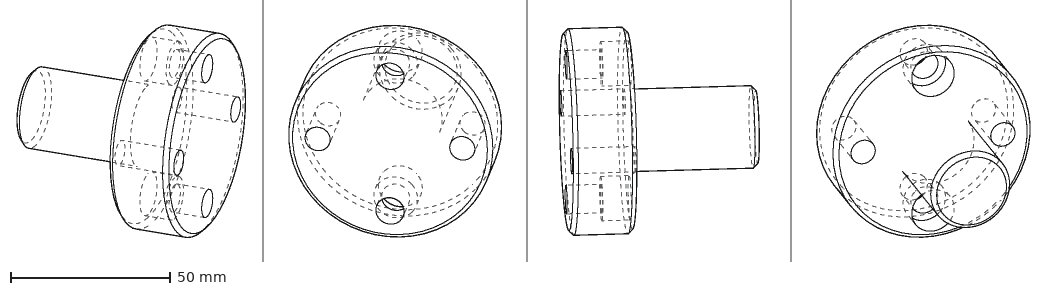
import cadquery as cq

flange_diameter = 65.0
flange_thickness = 20.0
shaft_diameter = 26.0
total_length = 60.0
edge_chamfer = 1.5
root_fillet = 2.0

pitch_radius = 23.0
plain_hole_diameter = 8.0
bolt_hole_diameter = 9.0
counterbore_diameter = 14.0
counterbore_depth = 9.0

shaft_length = total_length - flange_thickness


def cylinder_along_x(diameter, start, length, y=0, z=0):
    """Solid cylinder running in +X from the given start."""
    base = cq.Workplane("YZ", origin=(start, y, z))
    return base.circle(diameter / 2).extrude(length)


flange = cylinder_along_x(flange_diameter, 0, flange_thickness).edges().chamfer(edge_chamfer)

shaft = cylinder_along_x(shaft_diameter, -shaft_length, shaft_length)
shaft = shaft.faces("<X").edges().chamfer(edge_chamfer)

root_edge = cq.selectors.RadiusNthSelector(0)
body = flange.union(shaft)
body = body.faces(cq.selectors.NearestToPointSelector((0, pitch_radius, 0))).edges(root_edge)
body = body.fillet(root_fillet)

for side in (-1, 1):
    offset = side * pitch_radius

    body = body.cut(cylinder_along_x(plain_hole_diameter, 0, flange_thickness, y=offset))

    body = body.cut(cylinder_along_x(bolt_hole_diameter, 0, flange_thickness, z=offset))
    body = body.cut(cylinder_along_x(counterbore_diameter, 0, counterbore_depth, z=offset))

result = body